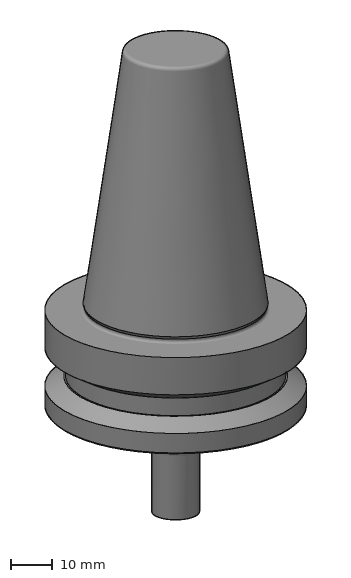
import cadquery as cq
import math

taper_length = 65.4
gauge_diameter = 44.45
taper_ratio = 7 / 24
taper_tip_fillet = 1.0
total_length = 119.4

neck_diameter = 44.0
neck_length = 2.0
taper_overrun = 0.25
neck_cone_height = 0.7
neck_fillet_radius = 0.7

flange_diameter = 62.98
flange_height = 25.0
flange_chamfer = 0.4
groove_diameter = 53.0
groove_floor_width = 4.7
groove_mouth_width = 9.98
groove_center_depth = 14.6
groove_wall_angle = math.radians(30)

nose_angle = math.radians(15)
nose_fillet_radius = 5.0
pin_diameter = 11.6

gauge_radius = gauge_diameter / 2
taper_tip_radius = gauge_radius - taper_length * taper_ratio / 2
taper_base_radius = gauge_radius + taper_overrun * taper_ratio / 2
neck_radius = neck_diameter / 2
flange_radius = flange_diameter / 2
nose_radius = flange_radius - flange_chamfer
groove_radius = groove_diameter / 2
pin_radius = pin_diameter / 2

taper_base = -taper_overrun
neck_cone_bottom = taper_base - neck_cone_height
flange_top = -neck_length
flange_bottom = flange_top - flange_height
pin_bottom = taper_length - total_length


def arc_point(center, radius, angle):
    """Point at the given angle on a circle in the profile plane."""
    return center[0] + radius * math.cos(angle), center[1] + radius * math.sin(angle)


def line_to_arc(profile, center, radius, start_angle, end_angle):
    """Draw a line to the start of an arc, then the arc itself."""
    return profile.lineTo(*arc_point(center, radius, start_angle)).threePointArc(
        arc_point(center, radius, (start_angle + end_angle) / 2),
        arc_point(center, radius, end_angle),
    )


def add_taper_and_neck(profile):
    """Taper from its tip down to the relieved neck, rounded into the flange face."""
    profile = (
        profile.lineTo(taper_tip_radius, taper_length)
        .lineTo(taper_base_radius, taper_base)
        .lineTo(neck_radius, neck_cone_bottom)
    )
    fillet_center = (neck_radius + neck_fillet_radius, flange_top + neck_fillet_radius)
    return line_to_arc(profile, fillet_center, neck_fillet_radius, math.pi, 1.5 * math.pi)


def add_flange(profile):
    """Flange rim with a V groove whose walls end in narrow steps above its flat floor."""
    center = flange_top - groove_center_depth
    mouth_half = groove_mouth_width / 2
    floor_half = groove_floor_width / 2
    step_radius = flange_radius - (mouth_half - floor_half) / math.tan(groove_wall_angle)
    return (
        profile.lineTo(flange_radius, flange_top)
        .lineTo(flange_radius, center + mouth_half)
        .lineTo(step_radius, center + floor_half)
        .lineTo(groove_radius, center + floor_half)
        .lineTo(groove_radius, center - floor_half)
        .lineTo(step_radius, center - floor_half)
        .lineTo(flange_radius, center - mouth_half)
        .lineTo(flange_radius, flange_bottom + flange_chamfer)
        .lineTo(nose_radius, flange_bottom)
    )


def add_nose_and_pin(profile):
    """Conical nose blended into the pin by an arc tangent to both."""
    center_r = pin_radius + nose_fillet_radius
    tangent_r = center_r - nose_fillet_radius * math.sin(nose_angle)
    tangent_z = flange_bottom - (nose_radius - tangent_r) * math.tan(nose_angle)
    center = (center_r, tangent_z - nose_fillet_radius * math.cos(nose_angle))
    profile = line_to_arc(profile, center, nose_fillet_radius, math.pi / 2 + nose_angle, math.pi)
    return profile.lineTo(pin_radius, pin_bottom).lineTo(0, pin_bottom)


def holder_body():
    """Revolve the half profile about Z."""
    profile = cq.Workplane("XZ").moveTo(0, taper_length)
    profile = add_taper_and_neck(profile)
    profile = add_flange(profile)
    profile = add_nose_and_pin(profile)
    return profile.close().revolve(360, (0, 0, 0), (0, 1, 0))


result = holder_body().faces(">Z").edges().fillet(taper_tip_fillet)